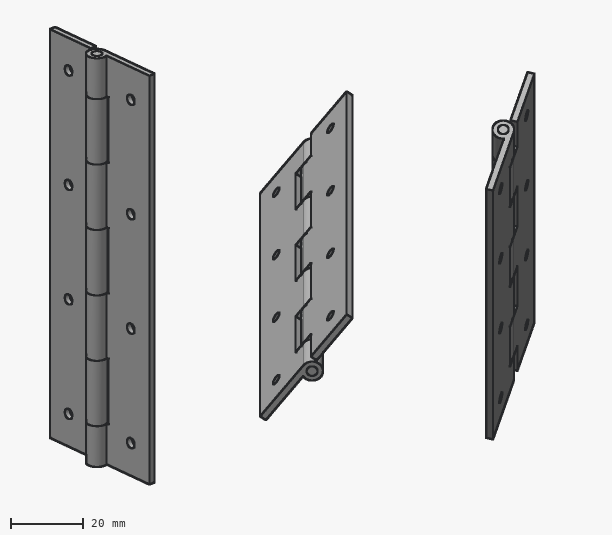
import cadquery as cq

hinge_length = 125.0
hinge_width = 40.0
leaf_thickness = 2.0

knuckle_diameter = 6.0
knuckle_radius = knuckle_diameter / 2
pin_diameter = 3.0
knuckle_count = 7
inner_knuckle_length = 20.0
end_knuckle_length = (hinge_length - (knuckle_count - 2) * inner_knuckle_length) / 2
knuckle_clearance = 0.5

screw_hole_diameter = 3.0
screw_hole_edge_distance = 7.5
screw_hole_count = 4
screw_hole_spacing = 35.0

leaf_outer_x = hinge_width / 2
leaf_inner_x = knuckle_radius + knuckle_clearance
leaf_back_y = knuckle_radius
leaf_middle_y = leaf_back_y - leaf_thickness / 2
screw_hole_x = leaf_outer_x - screw_hole_edge_distance


def knuckle_span(index):
    """Bottom height and length of a knuckle, counted from the bottom end."""
    if index == 0:
        return 0.0, end_knuckle_length
    bottom = end_knuckle_length + (index - 1) * inner_knuckle_length
    is_last = index == knuckle_count - 1
    return bottom, end_knuckle_length if is_last else inner_knuckle_length


def make_strip(side, inner_x, bottom, length):
    """Flat leaf stock from inner_x to the outer edge on one side of the pin."""
    width = leaf_outer_x - inner_x
    return (
        cq.Workplane("XY", origin=(side * (inner_x + width / 2), leaf_middle_y, bottom))
        .rect(width, leaf_thickness)
        .extrude(length)
    )


def make_rod(diameter, bottom, length):
    """Cylinder on the pin axis."""
    return cq.Workplane("XY").workplane(offset=bottom).circle(diameter / 2).extrude(length)


def make_screw_holes(side):
    """Cutters for the row of screw holes through one leaf."""
    first_z = (hinge_length - (screw_hole_count - 1) * screw_hole_spacing) / 2
    centers = [
        (side * screw_hole_x, first_z + index * screw_hole_spacing)
        for index in range(screw_hole_count)
    ]
    return (
        cq.Workplane("XZ", origin=(0, leaf_back_y, 0))
        .pushPoints(centers)
        .circle(screw_hole_diameter / 2)
        .extrude(leaf_thickness)
    )


def make_leaf(side, first_knuckle):
    """Leaf on the -X (side = -1) or +X (side = 1) side, with every second knuckle."""
    leaf = make_strip(side, leaf_inner_x, 0, hinge_length)
    for index in range(first_knuckle, knuckle_count, 2):
        bottom, length = knuckle_span(index)
        leaf = leaf.union(make_strip(side, 0, bottom, length))
        leaf = leaf.union(make_rod(knuckle_diameter, bottom, length))
    leaf = leaf.cut(make_rod(pin_diameter, 0, hinge_length))
    return leaf.cut(make_screw_holes(side))


left_leaf = make_leaf(side=-1, first_knuckle=1)
right_leaf = make_leaf(side=1, first_knuckle=0)
pin = make_rod(pin_diameter, 0, hinge_length)

result = cq.Compound.makeCompound([left_leaf.val(), right_leaf.val(), pin.val()])